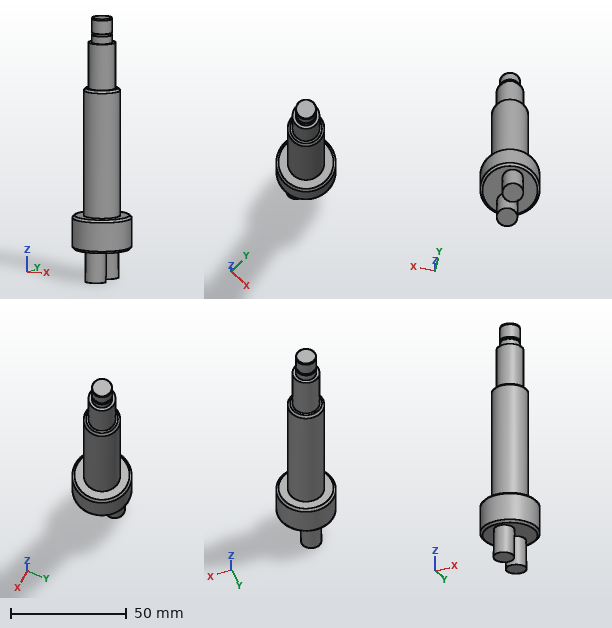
import cadquery as cq
import math

total_length = 115.1
top_z = total_length / 2
bottom_z = -total_length / 2

tip_diameter = 8.9
tip_length = 10.9
tip_chamfer_height = 0.7
tip_chamfer_inset = 0.2
groove_diameter = 7.5
groove_width = 1.0
groove_depth_from_tip = 6.7
neck_diameter = 11.7
neck_length = 20.0
body_diameter = 15.9
body_length = 55.8
edge_chamfer = 1.0

collar_diameter = 25.8
collar_height = 14.6

pin_diameter = 9.0
pin_end_offset = 6.1
pin_tilt = 1.5
pin_embed = 3.5

neck_top = top_z - tip_length
body_top = neck_top - neck_length
collar_top = body_top - body_length
collar_bottom = collar_top - collar_height


def cylinder(diameter, low_z, high_z):
    """Vertical cylinder on the Z axis between two heights."""
    return cq.Workplane("XY").workplane(offset=low_z).circle(diameter / 2).extrude(high_z - low_z)


def tip():
    """Chamfered end of the shaft with a retaining groove."""
    blank = cylinder(tip_diameter, neck_top, top_z)
    blank = blank.faces(">Z").chamfer(tip_chamfer_height, tip_chamfer_inset)
    groove_top = top_z - groove_depth_from_tip
    groove_bottom = groove_top - groove_width
    ring = cylinder(tip_diameter, groove_bottom, groove_top).cut(
        cylinder(groove_diameter, groove_bottom, groove_top)
    )
    return blank.cut(ring)


def pin(side):
    """Tilted round pin on the +Y (side = 1) or -Y (side = -1) side."""
    tilt = math.radians(pin_tilt)
    end_z = bottom_z + pin_diameter / 2 * math.sin(tilt)
    length = (collar_bottom + pin_embed - end_z) / math.cos(tilt)
    end_centre = cq.Vector(0, side * pin_end_offset, end_z)
    direction = cq.Vector(0, -side * math.sin(tilt), math.cos(tilt))
    return cq.Solid.makeCylinder(pin_diameter / 2, length, end_centre, direction)


neck = cylinder(neck_diameter, body_top, neck_top)
body = cylinder(body_diameter, collar_top, body_top).faces(">Z").chamfer(edge_chamfer)
collar = cylinder(collar_diameter, collar_bottom, collar_top).faces("<Z or >Z").chamfer(edge_chamfer)

result = collar.union(body).union(neck).union(tip())
for side in (-1, 1):
    result = result.union(pin(side))